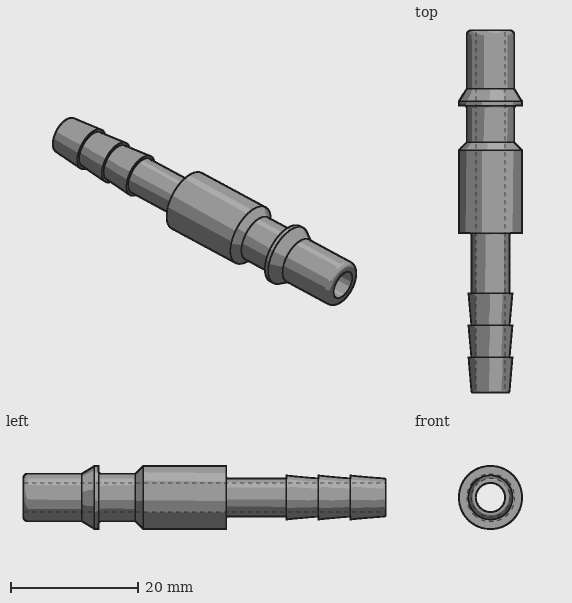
import cadquery as cq

length = 57.0
plug_end = length / 2
stem_end = -length / 2

body_radius = 4.99
plug_radius = 3.75
collar_radius = 4.95
stem_radius = 3.0
barb_radius = 3.5
bore_radius = 2.3

collar_start = 9.25
collar_cone_length = 1.95
collar_rim_width = 0.7
body_shoulder = 18.85
body_end = 31.9

barb_count = 3
barb_pitch = 5.0
first_barb = 41.4

plug_round = 0.75
collar_root_round = 0.35
stem_root_round = 0.15
tip_round = 0.35


def add_plug(outline):
    """Plug with a rounded end and a collar that is conical on its outer side."""
    rim_start = plug_end - collar_start - collar_cone_length
    rim_end = rim_start - collar_rim_width
    return (
        outline.lineTo(plug_radius - plug_round, plug_end)
        .radiusArc((plug_radius, plug_end - plug_round), plug_round)
        .lineTo(plug_radius, plug_end - collar_start)
        .lineTo(collar_radius, rim_start)
        .lineTo(collar_radius, rim_end)
        .lineTo(plug_radius + collar_root_round, rim_end)
        .radiusArc((plug_radius, rim_end - collar_root_round), -collar_root_round)
    )


def add_body(outline):
    """Cylindrical body with a 45 degree shoulder and a rounded stem root."""
    shoulder = plug_end - body_shoulder
    root = plug_end - body_end
    return (
        outline.lineTo(plug_radius, shoulder + body_radius - plug_radius)
        .lineTo(body_radius, shoulder)
        .lineTo(body_radius, root)
        .lineTo(stem_radius + stem_root_round, root)
        .radiusArc((stem_radius, root - stem_root_round), -stem_root_round)
    )


def add_barbs(outline):
    """Barbs tapering towards the tip; the last one runs out to the rounded tip."""
    outline = outline.lineTo(stem_radius, plug_end - first_barb)
    for index in range(barb_count):
        crest = plug_end - first_barb - index * barb_pitch
        is_last = index == barb_count - 1
        taper_end = stem_end + tip_round if is_last else crest - barb_pitch
        outline = outline.lineTo(barb_radius, crest).lineTo(stem_radius, taper_end)
    return outline.radiusArc((stem_radius - tip_round, stem_end), tip_round)


outline = cq.Workplane("XY").moveTo(bore_radius, plug_end)
outline = add_barbs(add_body(add_plug(outline)))
outline = outline.lineTo(bore_radius, stem_end).close()

result = outline.revolve(360, (0, 0, 0), (0, 1, 0))